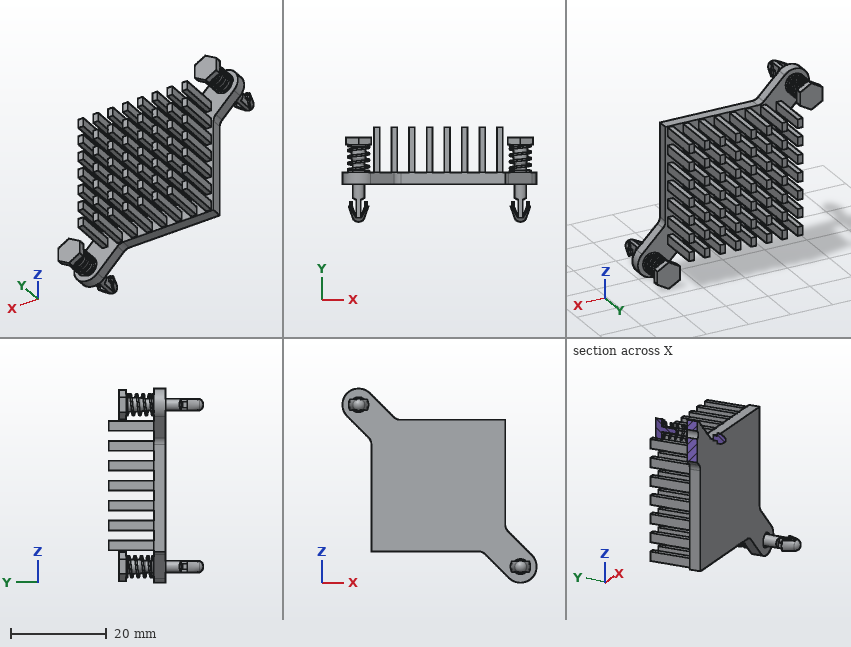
import cadquery as cq
import math


plate_left = -14.28
plate_right = 13.79
plate_half_height = 13.79
plate_thickness = 2.5

pin_offset = 16.94
lug_radius = 3.4
lug_corner_radius = 2.0
pin_hole_diameter = 3.2
pin_centres = [(-pin_offset, pin_offset), (pin_offset, -pin_offset)]

fin_columns = 8
fin_rows = 7
fin_width = 1.25
fin_height = 2.1
fin_length = 9.45
fin_pitch_x = 3.68
fin_pitch_z = 4.17

head_across_flats = 5.35
head_thickness = 1.5
head_bottom = 8.3
head_top = head_bottom + head_thickness
upper_radius = 1.5
shank_radius = 1.25
taper_top = 5.4
taper_bottom = 4.3
shoulder_top = -2.85
shoulder_bottom = -3.25
core_half_width = 0.5
dome_base = -7.0
tip_bottom = -7.89

barb_top = -4.55
barb_outer_radius = 2.1
barb_inner_offset = 1.35
barb_root = -6.75
barb_width = 2.3
post_top = -3.6
post_outer_offset = 1.8
post_width = 1.2

wire_radius = 0.2
coil_radius = 2.1
coil_turns = 4
end_turn_angle = 270
spring_bottom = plate_thickness + wire_radius
spring_top = head_bottom - wire_radius
spring_start_angles = [-90, 0]


def block(x_range, y_range, z_range):
    """Rectangular block between pairs of coordinates."""
    ranges = (x_range, y_range, z_range)
    sizes = [end - start for start, end in ranges]
    corner = cq.Vector(*[start for start, end in ranges])
    return cq.Workplane(cq.Solid.makeBox(*sizes, corner))


def make_plate():
    """Rectangular plate joined by a diagonal arm to a round lug at each pin."""
    plate = block(
        (plate_left, plate_right),
        (0, plate_thickness),
        (-plate_half_height, plate_half_height),
    )
    arm = (
        cq.Workplane("XZ")
        .transformed(rotate=(0, 0, -45))
        .slot2D(2 * (math.hypot(pin_offset, pin_offset) + lug_radius), 2 * lug_radius)
        .extrude(-plate_thickness)
    )
    plate = plate.union(arm)

    arm_reach = lug_radius * math.sqrt(2)
    inside_corners = [
        (plate_left, -plate_left - arm_reach),
        (-plate_half_height + arm_reach, plate_half_height),
        (plate_right, -plate_right + arm_reach),
        (plate_half_height - arm_reach, -plate_half_height),
    ]
    for x, z in inside_corners:
        corner_edge = cq.selectors.NearestToPointSelector((x, plate_thickness / 2, z))
        plate = plate.edges("|Y").edges(corner_edge).fillet(lug_corner_radius)

    holes = (
        cq.Workplane("XZ")
        .pushPoints(pin_centres)
        .circle(pin_hole_diameter / 2)
        .extrude(-plate_thickness)
    )
    return plate.cut(holes)


def make_heat_sink():
    """Plate with a grid of rectangular fins on its +Y face."""
    fins = (
        cq.Workplane("XZ", origin=((plate_left + plate_right) / 2, plate_thickness, 0))
        .rarray(fin_pitch_x, fin_pitch_z, fin_columns, fin_rows)
        .rect(fin_width, fin_height)
        .extrude(-fin_length)
    )
    return make_plate().union(fins)


def make_barb():
    """Snap barb on the +X side: a sloped arm under a conical surface, with a post on top."""
    cone = (
        cq.Workplane("XY")
        .moveTo(0, dome_base)
        .lineTo(shank_radius, dome_base)
        .lineTo(barb_outer_radius, barb_top)
        .lineTo(0, barb_top)
        .close()
        .revolve(360, (0, 0), (0, 1))
    )
    arm = (
        cq.Workplane("XY")
        .moveTo(0, dome_base)
        .lineTo(barb_outer_radius, dome_base)
        .lineTo(barb_outer_radius, barb_top)
        .lineTo(barb_inner_offset, barb_top)
        .lineTo(core_half_width, barb_root)
        .lineTo(0, barb_root)
        .close()
        .extrude(barb_width / 2, both=True)
        .intersect(cone)
    )
    post = block(
        (barb_inner_offset, post_outer_offset),
        (barb_top, post_top),
        (-post_width / 2, post_width / 2),
    )
    return arm.union(post)


def make_pin():
    """Push pin centred on the Y axis."""
    dome_height = dome_base - tip_bottom
    dome_radius = (shank_radius**2 + dome_height**2) / (2 * dome_height)
    dome_centre = tip_bottom + dome_radius
    half_angle = math.asin(shank_radius / dome_radius) / 2
    dome_middle = (
        dome_radius * math.sin(half_angle),
        dome_centre - dome_radius * math.cos(half_angle),
    )
    pin = (
        cq.Workplane("XY")
        .moveTo(0, head_bottom)
        .lineTo(upper_radius, head_bottom)
        .lineTo(upper_radius, taper_top)
        .lineTo(shank_radius, taper_bottom)
        .lineTo(shank_radius, dome_base)
        .threePointArc(dome_middle, (0, tip_bottom))
        .close()
        .revolve(360, (0, 0), (0, 1))
    )

    core_side = (
        cq.Workplane("XY")
        .moveTo(shank_radius, shoulder_top)
        .lineTo(core_half_width, shoulder_bottom)
        .lineTo(core_half_width, dome_base)
        .lineTo(shank_radius, dome_base)
        .close()
        .extrude(shank_radius, both=True)
    )
    pin = pin.cut(core_side).cut(core_side.mirror("YZ"))

    barb = make_barb()
    pin = pin.union(barb).union(barb.mirror("YZ"))

    head = (
        cq.Workplane("XZ", origin=(0, head_top, 0))
        .polygon(6, head_across_flats, circumscribed=True)
        .extrude(head_thickness)
    )
    return pin.union(head)


def make_spring(start_angle):
    """Right-handed coil around the Y axis with a flat end turn on the plate and under the head."""
    coil_height = spring_top - spring_bottom
    helix = cq.Wire.makeHelix(coil_height / coil_turns, coil_height, coil_radius)
    lower_turn = cq.Edge.makeCircle(coil_radius, angle1=-end_turn_angle, angle2=0)
    upper_turn = cq.Edge.makeCircle(
        coil_radius, cq.Vector(0, 0, coil_height), angle1=0, angle2=end_turn_angle
    )
    path = cq.Wire.assembleEdges([lower_turn, *helix.Edges(), upper_turn])
    path_start = path.startPoint()
    section_plane = cq.Plane(path_start, xDir=path_start, normal=path.tangentAt(0))
    coil = (
        cq.Workplane(section_plane)
        .circle(wire_radius)
        .sweep(cq.Workplane(path), isFrenet=True, transition="transformed")
    )
    return (
        coil.rotate((0, 0, 0), (0, 0, 1), start_angle)
        .rotate((0, 0, 0), (1, 0, 0), 90)
        .translate((0, spring_top, 0))
    )


heat_sink = make_heat_sink()
bodies = [heat_sink.solids().val()]
for (x, z), start_angle in zip(pin_centres, spring_start_angles):
    pin = make_pin().translate((x, 0, z))
    spring = make_spring(start_angle).translate((x, 0, z))
    bodies += [pin.solids().val(), spring.solids().val()]

result = cq.Compound.makeCompound(bodies)